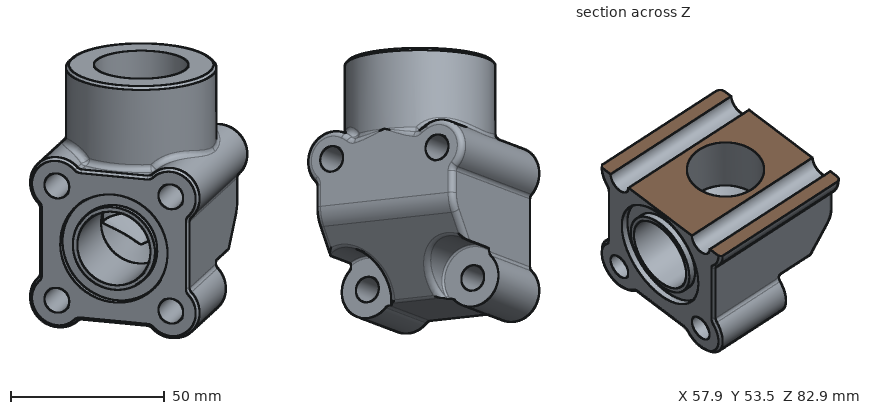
import cadquery as cq
import math


LUG_PITCH = 38.9
LUG_DIAMETER = 19.0
LUG_HOLE_DIAMETER = 8.5
BODY_WIDTH = 51.1
BODY_DEPTH = 53.5
EDGE_CHAMFER = 1.0
BLEND_RADIUS = 2.0

SLOPE_START_Z = 0.6
SLOPE_ANGLE = 51.2
SLOPE_BEND_RADIUS = 9.95

LOWER_LUG_DEPTH = 29
CLEARANCE_RADIUS = 11.0
CLEARANCE_FILLET = 0.7

OVERALL_HEIGHT = 82.9
PIPE_DIAMETER = 49.0
SOCKET_DIAMETER = 30.8
SOCKET_DEPTH = 24.9

BORE_DIAMETER = 25.0
FRONT_BORE_DEPTH = 25.2
DRILL_TIP_ANGLE = 120

GROOVE_OUTER_DIAMETER = 36.7
GROOVE_INNER_DIAMETER = 28.0
GROOVE_DEPTH = 2.5

LUG_RADIUS = LUG_DIAMETER / 2
LUG_OFFSET = LUG_PITCH / 2
LUG_CENTRES = [(x, z) for x in (-LUG_OFFSET, LUG_OFFSET) for z in (-LUG_OFFSET, LUG_OFFSET)]
BODY_HALF = BODY_WIDTH / 2
FLANGE_HALF = LUG_OFFSET + LUG_RADIUS
PIPE_RADIUS = PIPE_DIAMETER / 2
PIPE_Y = BODY_DEPTH - PIPE_RADIUS
PIPE_TOP_Z = OVERALL_HEIGHT - FLANGE_HALF
LUG_JUNCTION = LUG_OFFSET - math.sqrt(LUG_RADIUS**2 - (BODY_HALF - LUG_OFFSET) ** 2)
SLOPE_END_Y = BODY_DEPTH - (SLOPE_START_Z + BODY_HALF) / math.tan(math.radians(SLOPE_ANGLE))
SPARE_DEPTH = 16.6
TOLERANCE = 0.01
EDGE_SAMPLES = [0, 0.3, 0.7, 1]

BACKWARD = cq.Vector(0, 1, 0)
DOWNWARD = cq.Vector(0, 0, -1)


def cylinder_along_y(x, z, radius, start_y, end_y):
    solid = cq.Solid.makeCylinder(radius, end_y - start_y, cq.Vector(x, start_y, z), BACKWARD)
    return cq.Workplane(solid)


def drilled_bore(start, direction, diameter, depth):
    """Round hole with a conical drill tip beyond its full-diameter depth."""
    radius = diameter / 2
    tip_height = radius / math.tan(math.radians(DRILL_TIP_ANGLE / 2))
    barrel = cq.Solid.makeCylinder(radius, depth, start, direction)
    tip = cq.Solid.makeCone(radius, 0, tip_height, start + direction * depth, direction)
    return cq.Workplane(barrel).union(cq.Workplane(tip))


def is_lug_junction(edge):
    """True for the long inside corners between a lug and a flat side."""
    centre = edge.Center()
    near, far = sorted((abs(centre.x), abs(centre.z)))
    return abs(near - LUG_JUNCTION) < TOLERANCE and abs(far - BODY_HALF) < TOLERANCE


def is_pipe_foot(edge):
    """True for the edges where the pipe wall rises out of the block and its lugs."""
    on_pipe = all(
        abs(math.hypot(point.x, point.y - PIPE_Y) - PIPE_RADIUS) < TOLERANCE
        for point in edge.positions(EDGE_SAMPLES)
    )
    return on_pipe and BODY_HALF - TOLERANCE < edge.Center().z < FLANGE_HALF


def make_block_with_pipe():
    depth = BODY_DEPTH + SPARE_DEPTH
    block = cq.Workplane("XY").box(BODY_WIDTH, depth, BODY_WIDTH).translate((0, depth / 2, 0))
    for x, z in LUG_CENTRES:
        block = block.union(cylinder_along_y(x, z, LUG_RADIUS, 0, depth))
    pipe = cq.Workplane("XY").center(0, PIPE_Y).circle(PIPE_RADIUS).extrude(PIPE_TOP_Z)
    block = block.union(pipe)
    blended = block.edges("|Y").filter(is_lug_junction).vals() + block.edges().filter(is_pipe_foot).vals()
    return block.newObject(blended).fillet(BLEND_RADIUS)


def make_side_profile():
    """Side outline that trims the back flat, slopes the lower back and shortens the lower lugs."""
    outline = [
        (0, -FLANGE_HALF),
        (LOWER_LUG_DEPTH, -FLANGE_HALF),
        (LOWER_LUG_DEPTH, -BODY_HALF),
        (SLOPE_END_Y, -BODY_HALF),
        (BODY_DEPTH, SLOPE_START_Z),
        (BODY_DEPTH, PIPE_TOP_Z),
        (0, PIPE_TOP_Z),
    ]
    profile = cq.Workplane("YZ").polyline(outline).close().extrude(FLANGE_HALF, both=True)
    bend = cq.selectors.NearestToPointSelector((0, BODY_DEPTH, SLOPE_START_Z))
    return profile.edges(bend).fillet(SLOPE_BEND_RADIUS)


def is_clearance_floor(edge):
    """True for the inside corner between a bolt clearance wall and the back of its lug."""
    return all(
        abs(point.y - LOWER_LUG_DEPTH) < TOLERANCE
        and abs(math.hypot(abs(point.x) - LUG_OFFSET, point.z + LUG_OFFSET) - CLEARANCE_RADIUS) < TOLERANCE
        for point in edge.positions(EDGE_SAMPLES)
    )


def cut_bolt_clearances(body):
    for x in (-LUG_OFFSET, LUG_OFFSET):
        body = body.cut(cylinder_along_y(x, -LUG_OFFSET, CLEARANCE_RADIUS, LOWER_LUG_DEPTH, BODY_DEPTH))
    return body


def round_back_edges(body):
    """Round the rim of the back, the cut sides and foot of the slope, then the clearance floors."""
    slope_foot = cq.selectors.NearestToPointSelector((0, SLOPE_END_Y, -BODY_HALF))
    rim = body.faces(">Y").edges().vals()
    sides = body.edges("%ELLIPSE").vals()
    foot = body.edges(slope_foot).vals()
    body = body.newObject(rim + sides + foot).fillet(BLEND_RADIUS)
    return body.edges("%CIRCLE").filter(is_clearance_floor).fillet(CLEARANCE_FILLET)


def make_seal_groove():
    outer = cylinder_along_y(0, 0, GROOVE_OUTER_DIAMETER / 2, 0, GROOVE_DEPTH)
    return outer.cut(cylinder_along_y(0, 0, GROOVE_INNER_DIAMETER / 2, 0, GROOVE_DEPTH))


result = make_block_with_pipe().intersect(make_side_profile())
result = cut_bolt_clearances(result)
result = round_back_edges(result)
result = result.faces("<Y or >Z").edges().chamfer(EDGE_CHAMFER)

front_centre = cq.Vector(0, 0, 0)
pipe_mouth = cq.Vector(0, PIPE_Y, PIPE_TOP_Z)
result = result.cut(drilled_bore(front_centre, BACKWARD, BORE_DIAMETER, FRONT_BORE_DEPTH))
result = result.cut(drilled_bore(pipe_mouth, DOWNWARD, BORE_DIAMETER, PIPE_TOP_Z))
result = result.cut(drilled_bore(pipe_mouth, DOWNWARD, SOCKET_DIAMETER, SOCKET_DEPTH))
for lug_x, lug_z in LUG_CENTRES:
    result = result.cut(cylinder_along_y(lug_x, lug_z, LUG_HOLE_DIAMETER / 2, 0, BODY_DEPTH))
result = result.cut(make_seal_groove())